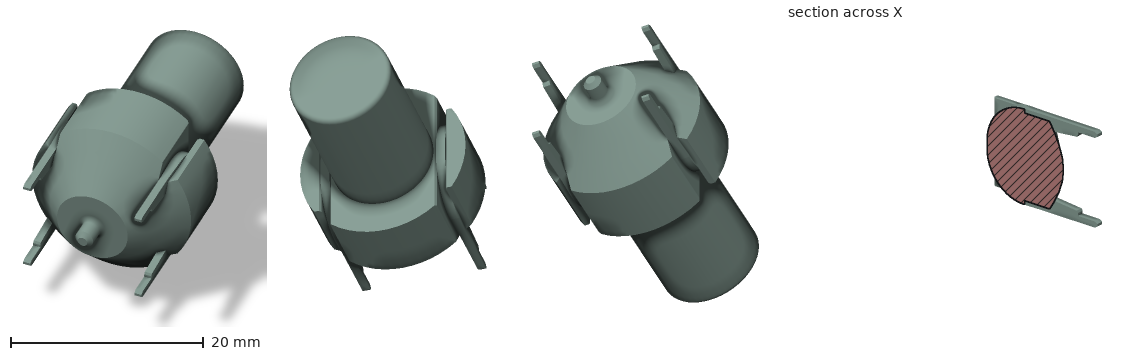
import cadquery as cq


shank_diameter = 11.0
shank_length = 15.22
shank_edge_radius = 0.5

head_diameter = 18.0
head_radius = head_diameter / 2
drum_length = 6.98
nose_radius = 4.0
head_length = 12.03

pin_diameter = 2.0
pin_tip = 14.6
pin_chamfer = 0.48
pin_root_radius = 0.5

notch_x = 5.8
notch_z = 5.0

clip_thickness = 0.99
clip_outer = notch_x + clip_thickness
clip_middle = notch_x + clip_thickness / 2
clip_back = 0.05
clip_half_height = 5.45
clip_outer_radius = 5.0
clip_inner_radius = 3.1
clip_bend_y = clip_back - clip_outer_radius
clip_bend_z = clip_half_height - clip_outer_radius

leg_thickness = 0.8
leg_taper_end = -7.4
leg_step_y = -12.03
leg_step_z = 4.2
leg_step_chamfer_length = 0.15
leg_step_chamfer_height = 0.25
leg_tip_y = -14.63
leg_tip_bottom_z = 4.75
leg_tip_chamfer_length = 0.35
leg_tip_chamfer_height = 0.2

flare_depth = 0.27
flare_width = 0.18


def make_body():
    """Shank, head and centre pin, turned in one profile."""
    shank_radius = shank_diameter / 2
    pin_radius = pin_diameter / 2
    profile = (
        cq.Workplane("XY")
        .moveTo(0, shank_length)
        .lineTo(shank_radius - shank_edge_radius, shank_length)
        .radiusArc((shank_radius, shank_length - shank_edge_radius), shank_edge_radius)
        .lineTo(shank_radius, 0)
        .lineTo(head_radius, 0)
        .lineTo(head_radius, -drum_length)
        .lineTo(nose_radius, -head_length)
        .lineTo(pin_radius + pin_root_radius, -head_length)
        .radiusArc((pin_radius, -head_length - pin_root_radius), -pin_root_radius)
        .lineTo(pin_radius, pin_chamfer - pin_tip)
        .lineTo(pin_radius - pin_chamfer, -pin_tip)
        .lineTo(0, -pin_tip)
        .close()
    )
    return profile.revolve(360, (0, 0, 0), (0, 1, 0))


def make_clip_back(radius):
    """Solid plate with the two rounded bends of a clip back."""
    half_height = clip_bend_z + radius
    back_y = clip_bend_y + radius
    return (
        cq.Workplane("YZ", origin=(notch_x, 0, 0))
        .moveTo(clip_bend_y, half_height)
        .radiusArc((back_y, clip_bend_z), radius)
        .lineTo(back_y, -clip_bend_z)
        .radiusArc((clip_bend_y, -half_height), radius)
        .close()
        .extrude(clip_thickness)
    )


def make_notch():
    """Corner notch of the +X +Z quarter."""
    return (
        cq.Workplane("XY")
        .box(head_radius, head_length, head_radius, centered=False)
        .translate((notch_x, -head_length, notch_z))
    )


def make_slot():
    """Clip slot behind the bends of the clip, with its widened mouth."""
    slot = (
        cq.Workplane("XY")
        .box(clip_thickness, -clip_bend_y, 2 * head_radius)
        .translate((clip_middle, clip_bend_y / 2, 0))
    )
    flare = (
        cq.Workplane("XY", origin=(0, 0, -head_radius))
        .moveTo(notch_x, -flare_depth)
        .lineTo(notch_x - flare_width, 0)
        .lineTo(clip_outer + flare_width, 0)
        .lineTo(clip_outer, -flare_depth)
        .close()
        .extrude(2 * head_radius)
    )
    clip_core = make_clip_back(clip_outer_radius)
    return slot.union(flare).cut(clip_core)


def make_leg():
    """Upper leg of the +X clip."""
    side = (
        cq.Workplane("YZ", origin=(notch_x, 0, 0))
        .moveTo(clip_bend_y, clip_half_height)
        .lineTo(leg_tip_y + leg_tip_chamfer_length, clip_half_height)
        .lineTo(leg_tip_y, clip_half_height - leg_tip_chamfer_height)
        .lineTo(leg_tip_y, leg_tip_bottom_z + leg_tip_chamfer_height)
        .lineTo(leg_tip_y + leg_tip_chamfer_length, leg_tip_bottom_z)
        .lineTo(leg_step_y, leg_tip_bottom_z)
        .lineTo(leg_step_y, leg_step_z + leg_step_chamfer_height)
        .lineTo(leg_step_y + leg_step_chamfer_length, leg_step_z)
        .lineTo(clip_bend_y, clip_bend_z + clip_inner_radius)
        .close()
        .extrude(clip_thickness)
    )
    thinning = (clip_thickness - leg_thickness) / 2
    thickness_outline = (
        cq.Workplane("XY")
        .moveTo(notch_x, clip_bend_y)
        .lineTo(notch_x + thinning, leg_taper_end)
        .lineTo(notch_x + thinning, leg_tip_y)
        .lineTo(clip_outer - thinning, leg_tip_y)
        .lineTo(clip_outer - thinning, leg_taper_end)
        .lineTo(clip_outer, clip_bend_y)
        .close()
        .extrude(clip_half_height)
    )
    return side.intersect(thickness_outline)


def make_clip():
    """The +X clip: its bent back and both legs."""
    back = make_clip_back(clip_outer_radius)
    opening = make_clip_back(clip_inner_radius)
    leg = make_leg()
    return back.cut(opening).union(leg).union(leg.mirror("XY"))


notch = make_notch()
slot = make_slot()
clip = make_clip()
notch_pair = notch.union(notch.mirror("XY"))

result = make_body()
for cutter in (notch_pair, slot):
    result = result.cut(cutter).cut(cutter.mirror("YZ"))
result = result.union(clip).union(clip.mirror("YZ"))